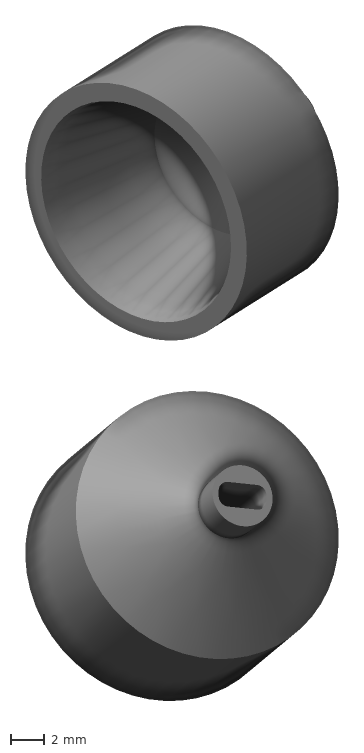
import cadquery as cq
import math

cone_slope = math.tan(math.radians(30))

body_diameter = 16.8
stem_diameter = 3.84
total_length = 15.42
stem_length = 2.6
shoulder_length = (body_diameter - stem_diameter) / 2 * cone_slope
body_length = total_length - stem_length - shoulder_length

mouth_diameter = 14.4
throat_diameter = 9.94
throat_depth = 8.3
funnel_tip_depth = throat_depth + throat_diameter / 2 * cone_slope

slot_width = 3.05
slot_height = 1.55
slot_corner_radius = 0.6


def revolve_about_y(outline):
    """Revolve an outline of (Y position, radius) points about the Y axis."""
    return cq.Workplane("YZ").polyline(outline).close().revolve(360, (0, 0), (1, 0))


def make_body():
    """Solid cup with its shoulder and stem."""
    outline = [
        (0, 0),
        (0, body_diameter / 2),
        (body_length, body_diameter / 2),
        (body_length + shoulder_length, stem_diameter / 2),
        (total_length, stem_diameter / 2),
        (total_length, 0),
    ]
    return revolve_about_y(outline)


def make_funnel():
    """Hollow inside the cup."""
    outline = [
        (0, 0),
        (0, mouth_diameter / 2),
        (throat_depth, throat_diameter / 2),
        (funnel_tip_depth, 0),
    ]
    return revolve_about_y(outline)


def make_slot():
    """Rounded rectangular passage along the whole Y length."""
    return (
        cq.Workplane("XZ")
        .rect(slot_width, slot_height)
        .extrude(-total_length)
        .edges("|Y")
        .fillet(slot_corner_radius)
    )


result = make_body().cut(make_funnel()).cut(make_slot())